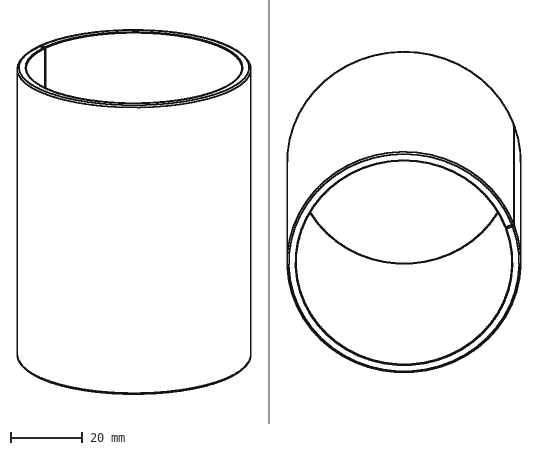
import cadquery as cq

OUTER_DIAMETER = 65.0
WALL_THICKNESS = 2.5
LENGTH = 85.0
OUTER_CHAMFER = 0.5
INNER_CHAMFER = 0.2
GAP_ANGLE = 1.0

OUTER_RADIUS = OUTER_DIAMETER / 2
INNER_RADIUS = OUTER_RADIUS - WALL_THICKNESS
HALF_LENGTH = LENGTH / 2


def wall_section():
    """Wall cross-section on the -X side, with its end edges chamfered inside and out."""
    face_outer = OUTER_RADIUS - OUTER_CHAMFER
    face_inner = INNER_RADIUS + INNER_CHAMFER
    outer_shoulder = HALF_LENGTH - OUTER_CHAMFER
    inner_shoulder = HALF_LENGTH - INNER_CHAMFER
    return (
        cq.Workplane("XZ")
        .moveTo(-INNER_RADIUS, -inner_shoulder)
        .lineTo(-face_inner, -HALF_LENGTH)
        .lineTo(-face_outer, -HALF_LENGTH)
        .lineTo(-OUTER_RADIUS, -outer_shoulder)
        .lineTo(-OUTER_RADIUS, outer_shoulder)
        .lineTo(-face_outer, HALF_LENGTH)
        .lineTo(-face_inner, HALF_LENGTH)
        .lineTo(-INNER_RADIUS, inner_shoulder)
        .close()
    )


result = wall_section().revolve(360 - GAP_ANGLE, (0, 0, 0), (0, 1, 0))